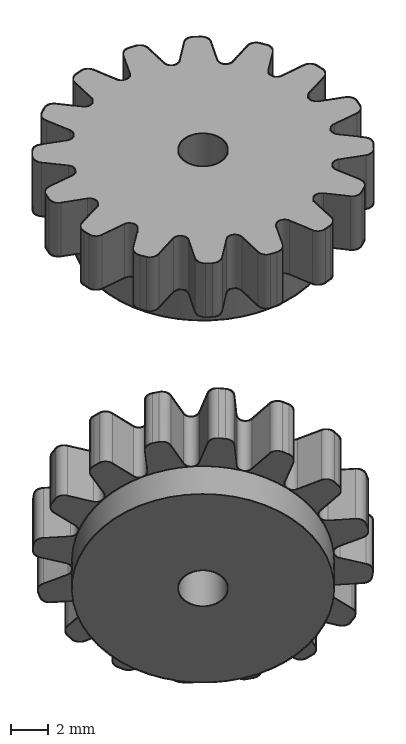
import cadquery as cq
import math

tooth_count = 16
tip_radius = 9.1
root_radius = 7.0
gear_thickness = 3.85
hub_radius = root_radius
hub_height = 2.13
bore_diameter = 2.65

tip_half_width = 0.64
flank_angle = 11.0
tip_fillet_radius = 0.55

half_pitch = 180.0 / tooth_count
total_height = hub_height + gear_thickness


def polar(radius, angle):
    """Point at a radius, with the angle in degrees counter-clockwise from +X."""
    return (radius * math.cos(math.radians(angle)), radius * math.sin(math.radians(angle)))


def turn(point, angle):
    """Rotate a point about the gear axis by an angle in degrees."""
    return polar(math.hypot(*point), math.degrees(math.atan2(point[1], point[0])) + angle)


def tooth_points():
    """Outline points of a tooth along +X, from its tip down its counter-clockwise flank."""
    flank = math.radians(flank_angle)
    tangent_length = tip_fillet_radius * math.tan((math.pi / 2 - flank) / 2)
    tip_end = (tip_radius, tip_half_width - tangent_length)
    fillet_center = (tip_radius - tip_fillet_radius, tip_end[1])
    bisector = math.pi / 4 + flank / 2
    fillet_mid = (
        fillet_center[0] + tip_fillet_radius * math.cos(bisector),
        fillet_center[1] + tip_fillet_radius * math.sin(bisector),
    )
    flank_start = (
        tip_radius - tangent_length * math.cos(flank),
        tip_half_width + tangent_length * math.sin(flank),
    )
    opening = math.sin(flank + math.radians(half_pitch))
    flank_offset = tip_half_width * math.cos(flank) + tip_radius * math.sin(flank)
    floor_radius = (root_radius * opening - flank_offset) / (1 - opening)
    floor_center = polar(root_radius + floor_radius, half_pitch)
    flank_end = (
        floor_center[0] - floor_radius * math.sin(flank),
        floor_center[1] - floor_radius * math.cos(flank),
    )
    return tip_end, fillet_mid, flank_start, flank_end


def mirrored(point):
    """Reflect a point across the axis of the tooth along +X."""
    return (point[0], -point[1])


def gear_outline():
    """Closed outline of all teeth and gaps at the underside of the gear."""
    tip_end, fillet_mid, flank_start, flank_end = tooth_points()
    outline = cq.Workplane("XY").workplane(offset=hub_height).moveTo(*mirrored(tip_end))
    for tooth in range(tooth_count):
        angle = 2 * half_pitch * tooth
        next_angle = angle + 2 * half_pitch
        outline = (
            outline.lineTo(*turn(tip_end, angle))
            .threePointArc(turn(fillet_mid, angle), turn(flank_start, angle))
            .lineTo(*turn(flank_end, angle))
            .threePointArc(
                polar(root_radius, angle + half_pitch),
                turn(mirrored(flank_end), next_angle),
            )
            .lineTo(*turn(mirrored(flank_start), next_angle))
            .threePointArc(
                turn(mirrored(fillet_mid), next_angle),
                turn(mirrored(tip_end), next_angle),
            )
        )
    return outline.close()


gear = gear_outline().extrude(gear_thickness)
hub = cq.Workplane("XY").circle(hub_radius).extrude(hub_height)
bore = cq.Workplane("XY").circle(bore_diameter / 2).extrude(total_height)

result = gear.union(hub).cut(bore)